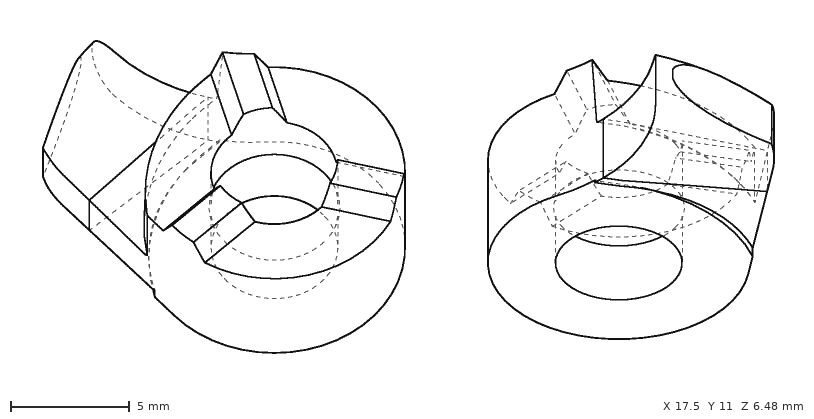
import cadquery as cq
import math

HUB_DIAMETER = 11.0
HUB_RADIUS = HUB_DIAMETER / 2
HUB_HEIGHT = 5.3
BORE_RADIUS = 2.66
GROOVE_TOP = 3.18
GROOVE_BOTTOM = 2.52
GROOVE_DEPTH = 0.09

TOOTH_COUNT = 3
FIRST_TOOTH_ANGLE = 30
TOOTH_HEIGHT = 1.0
TOOTH_BASE_WIDTH = 2.42
TOOTH_TOP_WIDTH = 1.26
TOP_Z = HUB_HEIGHT + TOOTH_HEIGHT

OVERALL_LENGTH = 17.5
RAKE_CENTER_X = -10.0
RAKE_CENTER_Y = 8.72
NOSE_X = HUB_RADIUS - OVERALL_LENGTH
FLANK_START = (-11.88, 0.45)
HEEL_CORNER = (-9.31, -4.41)
HEEL_END_X = -7.68
SIDE_ANGLE = math.radians(5)

BLADE_Z = 1.4
NOSE_RADIUS = 1.6
HUBWARD_TAPER = 0.016
HEELWARD_TAPER = 0.078
CLEARANCE_RADIUS = 10.68
CREST_Y = 1.26
BLADE_LOW_Y = -5.6
BLADE_HIGH_Y = 4.38
BLADE_END_X = -0.88
SECTION_COUNT = 8
SPLIT_X = -5.98

UPPER_WALL_TOP_X = -5.45
LOWER_WALL_X = -5.56
UPPER_WALL_FOOT_X = -5.75
UPPER_WALL_END = (-2.2, -5.35)
LOWER_WALL_END = (-1.68, -5.4)
WALL_FILLET = 0.1

MARGIN = 0.88
FAR = 17.5


def make_outline():
    """Plan shape of hub and blade, through the full height."""
    center_distance = math.hypot(RAKE_CENTER_X, RAKE_CENTER_Y)
    rake_radius = center_distance - HUB_RADIUS
    tangent_scale = HUB_RADIUS / center_distance
    rake_start = (RAKE_CENTER_X * tangent_scale, RAKE_CENTER_Y * tangent_scale)
    nose_run = NOSE_X - RAKE_CENTER_X
    nose = (NOSE_X, RAKE_CENTER_Y - math.sqrt(rake_radius**2 - nose_run**2))
    rake_low = (RAKE_CENTER_X, RAKE_CENTER_Y - rake_radius)

    side_end = (-HUB_RADIUS * math.sin(SIDE_ANGLE), -HUB_RADIUS * math.cos(SIDE_ANGLE))
    heel_end = (HEEL_END_X, side_end[1] + (side_end[0] - HEEL_END_X) * math.tan(SIDE_ANGLE))
    return (
        cq.Workplane("XY", origin=(0, 0, -MARGIN))
        .moveTo(*rake_start)
        .threePointArc((HUB_RADIUS, 0), side_end)
        .lineTo(*heel_end)
        .tangentArcPoint(HEEL_CORNER, relative=False)
        .lineTo(*FLANK_START)
        .lineTo(*nose)
        .threePointArc(rake_low, rake_start)
        .close()
        .extrude(TOP_Z + MARGIN)
    )


def blade_section(y):
    """Round-nosed blade section at the given Y."""
    drop = max(CREST_Y - y, 0)
    half = NOSE_RADIUS - HEELWARD_TAPER * drop
    clearance = CLEARANCE_RADIUS - math.sqrt(CLEARANCE_RADIUS**2 - drop**2)
    arc_x = NOSE_X + NOSE_RADIUS + clearance
    end_half = half - HUBWARD_TAPER * (BLADE_END_X - arc_x)
    plane = cq.Plane(origin=(0, y, BLADE_Z), xDir=(1, 0, 0), normal=(0, -1, 0))
    return (
        cq.Workplane(plane)
        .moveTo(BLADE_END_X, -end_half)
        .lineTo(BLADE_END_X, end_half)
        .lineTo(arc_x, half)
        .threePointArc((arc_x - half, 0), (arc_x, -half))
        .close()
    )


def make_blade_envelope():
    """Blade thickness: flat beyond the crest, relieved from the crest to the heel."""
    step = (CREST_Y - BLADE_LOW_Y) / (SECTION_COUNT - 1)
    wires = [blade_section(CREST_Y - i * step).wires().val() for i in range(SECTION_COUNT)]
    relieved = cq.Workplane(cq.Solid.makeLoft(wires))
    flat = blade_section(BLADE_HIGH_Y).extrude(BLADE_HIGH_Y - CREST_Y)
    return flat.union(relieved)


def wall_profile(z, start_x, end):
    """Region on the blade side of a wall that is straight, then a tangent arc to its end."""
    return (
        cq.Workplane("XY", origin=(0, 0, z))
        .moveTo(start_x, BLADE_HIGH_Y)
        .lineTo(start_x, CREST_Y)
        .tangentArcPoint(end, relative=False)
        .lineTo(end[0], -FAR)
        .lineTo(-FAR, -FAR)
        .lineTo(-FAR, BLADE_HIGH_Y)
        .close()
    )


def make_upper_relief():
    """Drafted space above the blade, from the tooth tops down to the blade mid-plane."""
    foot = wall_profile(BLADE_Z, UPPER_WALL_FOOT_X, UPPER_WALL_END).wires().val()
    top = wall_profile(TOP_Z, UPPER_WALL_TOP_X, UPPER_WALL_END).wires().val()
    return cq.Workplane(cq.Solid.makeLoft([foot, top], True))


def make_lower_relief():
    """Straight-walled space below the blade, up to the blade mid-plane."""
    return wall_profile(-MARGIN, LOWER_WALL_X, LOWER_WALL_END).extrude(BLADE_Z + MARGIN)


def make_tooth(angle):
    """Radial trapezoidal tooth starting at the hub axis."""
    return (
        cq.Workplane("YZ")
        .moveTo(-TOOTH_BASE_WIDTH / 2, HUB_HEIGHT)
        .lineTo(TOOTH_BASE_WIDTH / 2, HUB_HEIGHT)
        .lineTo(TOOTH_TOP_WIDTH / 2, TOP_Z)
        .lineTo(-TOOTH_TOP_WIDTH / 2, TOP_Z)
        .close()
        .extrude(HUB_RADIUS + MARGIN)
        .rotate((0, 0, 0), (0, 0, 1), angle)
    )


def make_bore():
    """Through bore with a shallow V groove part-way down."""
    return (
        cq.Workplane("XZ")
        .moveTo(0, -MARGIN)
        .lineTo(BORE_RADIUS, -MARGIN)
        .lineTo(BORE_RADIUS, GROOVE_BOTTOM)
        .lineTo(BORE_RADIUS + GROOVE_DEPTH, (GROOVE_BOTTOM + GROOVE_TOP) / 2)
        .lineTo(BORE_RADIUS, GROOVE_TOP)
        .lineTo(BORE_RADIUS, TOP_Z + MARGIN)
        .lineTo(0, TOP_Z + MARGIN)
        .close()
        .revolve(360, (0, 0, 0), (0, 1, 0))
    )


def slab_between(x_start, x_end):
    """Large block between two X positions."""
    return cq.Workplane("XY").box(x_end - x_start, 2 * FAR, 2 * FAR).translate(((x_start + x_end) / 2, 0, 0))


outline = make_outline()
blade = outline.intersect(make_blade_envelope())


def fillet_wall_foot(body):
    """Small fillet along the curved foot of the upper wall."""
    hub_side = BLADE_Z + NOSE_RADIUS / 2
    foot_zone = cq.selectors.BoxSelector(
        (UPPER_WALL_FOOT_X, UPPER_WALL_END[1], hub_side),
        (UPPER_WALL_END[0] - 2 * WALL_FILLET, RAKE_CENTER_Y, BLADE_Z + NOSE_RADIUS),
    )
    outer_edges = cq.selectors.BoxSelector(
        (SPLIT_X, UPPER_WALL_END[1], hub_side),
        (UPPER_WALL_END[0], HEEL_CORNER[1], BLADE_Z + NOSE_RADIUS),
    )
    return body.edges(foot_zone - outer_edges).edges("not(|Z)").fillet(WALL_FILLET)


def make_holder():
    """Toothed hub with the stub of the blade."""
    solid_hub = cq.Workplane("XY").rect(2 * FAR, 2 * FAR).extrude(HUB_HEIGHT)
    for i in range(TOOTH_COUNT):
        solid_hub = solid_hub.union(make_tooth(FIRST_TOOTH_ANGLE + i * 360 / TOOTH_COUNT))
    relief = make_upper_relief().union(make_lower_relief())
    stub = blade.intersect(slab_between(SPLIT_X, FAR)).intersect(relief)
    body = outline.intersect(solid_hub).cut(relief).union(stub)
    return fillet_wall_foot(body).cut(make_bore())


def make_tip():
    """Round-nosed cutting tip in front of the holder."""
    return blade.intersect(slab_between(-FAR, SPLIT_X))


holder = make_holder()
tip = make_tip()
result = cq.Compound.makeCompound([holder.val(), tip.val()])